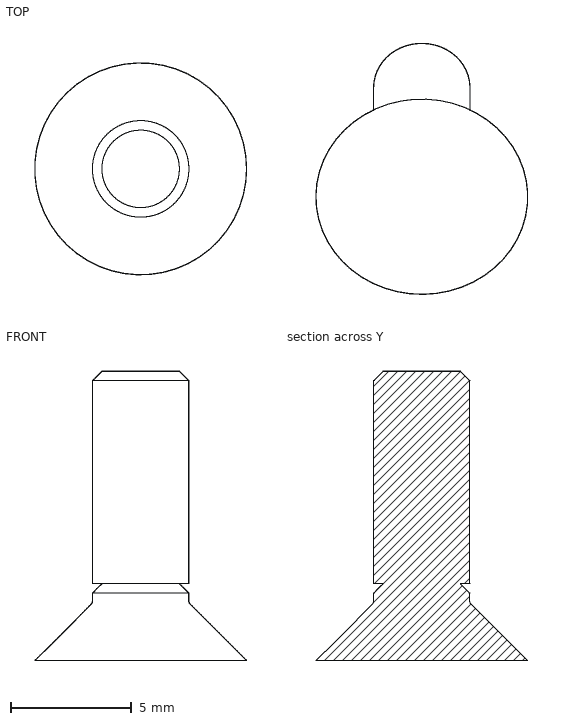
import cadquery as cq
import math

total_length = 12.0
head_diameter = 8.8
shank_diameter = 4.01
end_chamfer = 0.4
collar_top = 2.8
neck_fillet = 0.18
cone_angle = math.radians(45)

head_radius = head_diameter / 2
shank_radius = shank_diameter / 2
chamfered_radius = shank_radius - end_chamfer
groove_top = collar_top + end_chamfer

cone_end_radius = shank_radius + neck_fillet * (1 - math.cos(cone_angle))
cone_end_height = (head_radius - cone_end_radius) / math.tan(cone_angle)
collar_bottom = cone_end_height + neck_fillet * math.sin(cone_angle)

half_angle = cone_angle / 2
fillet_middle = (
    shank_radius + neck_fillet * (1 - math.cos(half_angle)),
    collar_bottom - neck_fillet * math.sin(half_angle),
)

profile = (
    cq.Workplane("XZ")
    .lineTo(head_radius, 0)
    .lineTo(cone_end_radius, cone_end_height)
    .threePointArc(fillet_middle, (shank_radius, collar_bottom))
    .lineTo(shank_radius, collar_top)
    .lineTo(chamfered_radius, groove_top)
    .lineTo(shank_radius, groove_top)
    .lineTo(shank_radius, total_length - end_chamfer)
    .lineTo(chamfered_radius, total_length)
    .lineTo(0, total_length)
    .close()
)

result = profile.revolve(360, (0, 0, 0), (0, 1, 0))